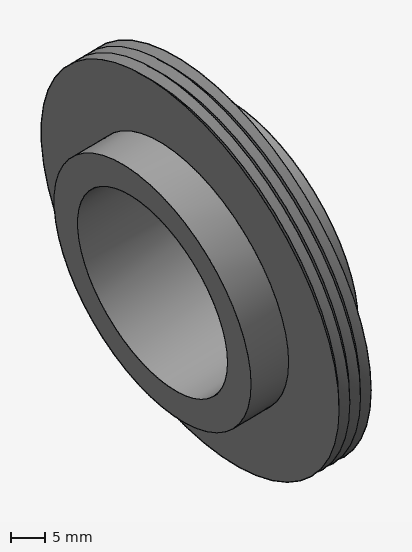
import cadquery as cq

flange_diameter = 69.6
hub_diameter = 46.0
bore_diameter = 35.0
hub_length = 20.0
flange_width = 6.0
groove_count = 3
groove_depth = 1.3

flange_radius = flange_diameter / 2
hub_radius = hub_diameter / 2
bore_radius = bore_diameter / 2
groove_pitch = flange_width / groove_count


def grooved_rim():
    """Radius and axial position of the rim points after the first sharp edge."""
    points = []
    for index in range(groove_count):
        groove_start = -flange_width / 2 + index * groove_pitch
        points.append((flange_radius - groove_depth, groove_start + groove_pitch / 2))
        points.append((flange_radius, groove_start + groove_pitch))
    return points


section = [
    (bore_radius, -hub_length / 2),
    (hub_radius, -hub_length / 2),
    (hub_radius, -flange_width / 2),
    (flange_radius, -flange_width / 2),
    *grooved_rim(),
    (hub_radius, flange_width / 2),
    (hub_radius, hub_length / 2),
    (bore_radius, hub_length / 2),
]

result = cq.Workplane("XY").polyline(section).close().revolve(360, (0, 0, 0), (0, 1, 0))